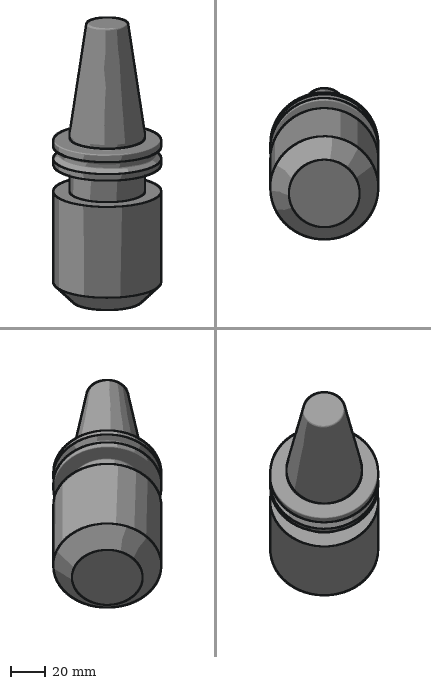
import cadquery as cq
import math

overall_length = 169.85

gauge_diameter = 44.45
taper_length = 68.25
taper_ratio = 7 / 24
tip_fillet = 1.3

relief_depth = 0.35
relief_fillet = 0.8

flange_diameter = 63.5
flange_top_z = -3.175
flange_bottom_z = -19.05
flange_rim_fillet = 0.75

groove_center_z = -11.16
groove_floor_diameter = 56.35
groove_floor_width = 3.2
groove_included_angle = 60.0
groove_corner_fillet = 1.0

neck_diameter = 44.45
neck_root_fillet = 0.7
body_diameter = 63.5
body_top_z = -34.925
nose_cone_height = 11.0
nose_angle = 45.0

gauge_radius = gauge_diameter / 2
tip_radius = gauge_radius - taper_ratio * taper_length / 2
relief_radius = gauge_radius - relief_depth
flange_radius = flange_diameter / 2
neck_radius = neck_diameter / 2
body_radius = body_diameter / 2
nose_radius = body_radius - nose_cone_height * math.tan(math.radians(nose_angle))
nose_z = taper_length - overall_length


def revolve_profile(sketch):
    """Turn a closed radius/height outline into a solid about Z."""
    return sketch.close().revolve(360, (0, 0, 0), (0, 1, 0))


def make_shank():
    """Taper with a rounded tip, a short cylinder and a filleted relief onto the flange."""
    relief_z = flange_top_z + relief_fillet
    shank = revolve_profile(
        cq.Workplane("XZ")
        .moveTo(0, flange_top_z)
        .lineTo(relief_radius + relief_fillet, flange_top_z)
        .radiusArc((relief_radius, relief_z), relief_fillet)
        .lineTo(gauge_radius, relief_z + relief_depth)
        .lineTo(gauge_radius, 0)
        .lineTo(tip_radius, taper_length)
        .lineTo(0, taper_length)
    )
    return shank.faces(">Z").edges().fillet(tip_fillet)


def make_flange():
    """Disc with rounded rims."""
    disc = (
        cq.Workplane("XY")
        .workplane(offset=flange_bottom_z)
        .circle(flange_radius)
        .extrude(flange_top_z - flange_bottom_z)
    )
    return disc.faces("<Z or >Z").edges().fillet(flange_rim_fillet)


def make_groove():
    """Ring removed from the flange rim, a V with a flat floor and rounded corners."""
    floor_radius = groove_floor_diameter / 2
    half_floor = groove_floor_width / 2
    wall_slope = math.tan(math.radians(groove_included_angle / 2))
    half_mouth = half_floor + (flange_radius - floor_radius) * wall_slope
    ring = revolve_profile(
        cq.Workplane("XZ")
        .moveTo(floor_radius, groove_center_z - half_floor)
        .lineTo(flange_radius, groove_center_z - half_mouth)
        .lineTo(flange_radius, groove_center_z + half_mouth)
        .lineTo(floor_radius, groove_center_z + half_floor)
    )
    floor_edges = ring.edges(cq.selectors.RadiusNthSelector(0))
    return floor_edges.fillet(groove_corner_fillet)


def make_neck_and_body():
    """Neck filleted to the flange, then the wide body ending in a cone."""
    return revolve_profile(
        cq.Workplane("XZ")
        .moveTo(0, nose_z)
        .lineTo(nose_radius, nose_z)
        .lineTo(body_radius, nose_z + nose_cone_height)
        .lineTo(body_radius, body_top_z)
        .lineTo(neck_radius, body_top_z)
        .lineTo(neck_radius, flange_bottom_z - neck_root_fillet)
        .radiusArc((neck_radius + neck_root_fillet, flange_bottom_z), neck_root_fillet)
        .lineTo(0, flange_bottom_z)
    )


result = make_flange().cut(make_groove()).union(make_shank()).union(make_neck_and_body())